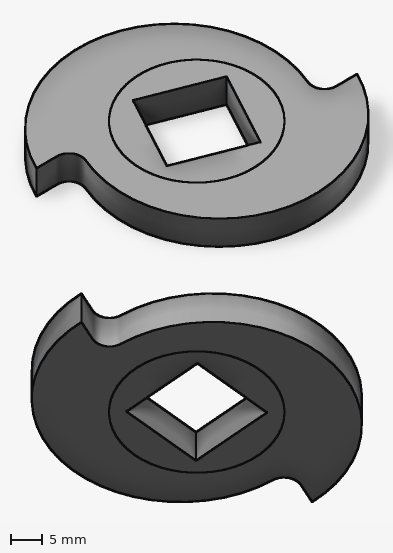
import cadquery as cq
import math

thickness = 6.4
lobe_radius = 24.0
lobe_offset_x = 0.3
lobe_offset_y = 3.95
tip_x = 1.4
tooth_angle = 20.0
root_radius = 3.0
hub_diameter = 28.25
square_hole = 16.0


def opposite(point):
    """Turn a point half a revolution about the cam axis."""
    return (-point[0], -point[1])


left_center = (lobe_offset_x, -lobe_offset_y)

tip_rise = math.sqrt(lobe_radius**2 - (tip_x - lobe_offset_x)**2)
upper_tip = (-tip_x, lobe_offset_y + tip_rise)

face_x = math.sin(math.radians(tooth_angle))
face_y = -math.cos(math.radians(tooth_angle))
to_tip_x = upper_tip[0] - left_center[0]
to_tip_y = upper_tip[1] - left_center[1]
along = to_tip_x * face_x + to_tip_y * face_y
across = to_tip_x * face_y - to_tip_y * face_x
face_length = -along - math.sqrt(lobe_radius**2 - across**2)
upper_root = (upper_tip[0] + face_length * face_x, upper_tip[1] + face_length * face_y)

left_side = (left_center[0] - lobe_radius, left_center[1])


def make_cam():
    """Two-toothed cam plate with a round bore for the hub."""
    outline = (
        cq.Workplane("XY")
        .moveTo(*upper_tip)
        .lineTo(*upper_root)
        .threePointArc(left_side, opposite(upper_tip))
        .lineTo(*opposite(upper_root))
        .threePointArc(opposite(left_side), upper_tip)
        .close()
    )
    plate = outline.extrude(thickness)
    for root in (upper_root, opposite(upper_root)):
        root_edge = cq.selectors.NearestToPointSelector((*root, thickness / 2))
        plate = plate.edges("|Z").edges(root_edge).fillet(root_radius)
    bore = cq.Workplane("XY").circle(hub_diameter / 2).extrude(thickness)
    return plate.cut(bore)


def make_hub():
    """Round hub that fills the bore, with a square drive hole through it."""
    hub = cq.Workplane("XY").circle(hub_diameter / 2).extrude(thickness)
    drive_hole = cq.Workplane("XY").rect(square_hole, square_hole).extrude(thickness)
    return hub.cut(drive_hole)


cam = make_cam()
hub = make_hub()
result = cq.Compound.makeCompound([cam.val(), hub.val()])